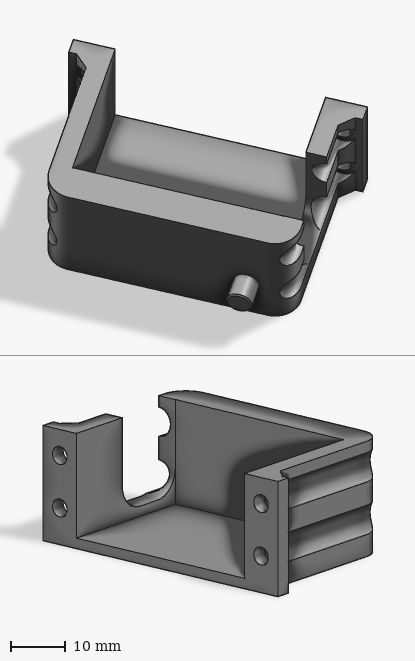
import cadquery as cq

flange_width = 56.0
height = 22.0
body_width = 48.0
body_depth = 35.0

side_wall = 4.0
front_wall = 6.7
floor_thickness = 2.0
corner_radius = 5.0

flange_thickness = 3.0
flange_lip = 1.45
gusset_depth = 2.5

screw_diameter = 3.4
groove_diameter = 5.6
lower_screw_z = 7.0
screw_spacing = 10.0

pin_diameter = 4.8
pin_length = 5.0
pin_chamfer = 0.3
pin_x = 15.0
pin_z = 8.45

notch_back_offset = 13.1
notch_length = 15.1
notch_radius = 5.05
notch_floor_z = 4.0

half_body = body_width / 2
half_flange = flange_width / 2


def make_body():
    """Outer block with rounded front corners and gusseted back flanges."""
    gusset_x = half_flange - flange_lip
    gusset_end = -flange_thickness - gusset_depth
    block = (
        cq.Workplane("XY")
        .moveTo(-half_flange, 0)
        .lineTo(half_flange, 0)
        .lineTo(half_flange, -flange_thickness)
        .lineTo(gusset_x, -flange_thickness)
        .lineTo(half_body, gusset_end)
        .lineTo(half_body, -body_depth)
        .lineTo(-half_body, -body_depth)
        .lineTo(-half_body, gusset_end)
        .lineTo(-gusset_x, -flange_thickness)
        .lineTo(-half_flange, -flange_thickness)
        .close()
        .extrude(height)
    )
    return block.edges("|Z and <Y").fillet(corner_radius)


def make_cavity():
    """Inner space, open at the top and the back."""
    cavity_width = body_width - 2 * side_wall
    cavity_depth = body_depth - front_wall
    return (
        cq.Workplane("XY", origin=(0, 0, floor_thickness))
        .rect(cavity_width, 2 * cavity_depth)
        .extrude(height - floor_thickness)
    )


def make_screw_cut(x, z):
    """Through hole in the flange, with a groove running forward along the side wall."""
    hole = (
        cq.Workplane("XZ", origin=(x, 0, z))
        .circle(screw_diameter / 2)
        .extrude(body_depth)
    )
    groove = (
        cq.Workplane("XZ", origin=(x, -flange_thickness, z))
        .circle(groove_diameter / 2)
        .extrude(body_depth - flange_thickness)
    )
    return hole.union(groove)


def make_notch():
    """Notch through the +X wall, open at the top, with rounded bottom corners."""
    center_y = -notch_back_offset - notch_length / 2
    return (
        cq.Workplane("XY", origin=(half_body - side_wall / 2, center_y, notch_floor_z))
        .rect(side_wall, notch_length)
        .extrude(height - notch_floor_z)
        .edges("|X and <Z")
        .fillet(notch_radius)
    )


def make_pin():
    """Pin on the front face with a chamfered tip."""
    return (
        cq.Workplane("XZ", origin=(pin_x, -body_depth, pin_z))
        .circle(pin_diameter / 2)
        .extrude(pin_length)
        .faces("<Y")
        .chamfer(pin_chamfer)
    )


result = make_body().cut(make_cavity()).cut(make_notch())
for screw_x in (-half_body, half_body):
    for screw_z in (lower_screw_z, lower_screw_z + screw_spacing):
        result = result.cut(make_screw_cut(screw_x, screw_z))
result = result.union(make_pin())